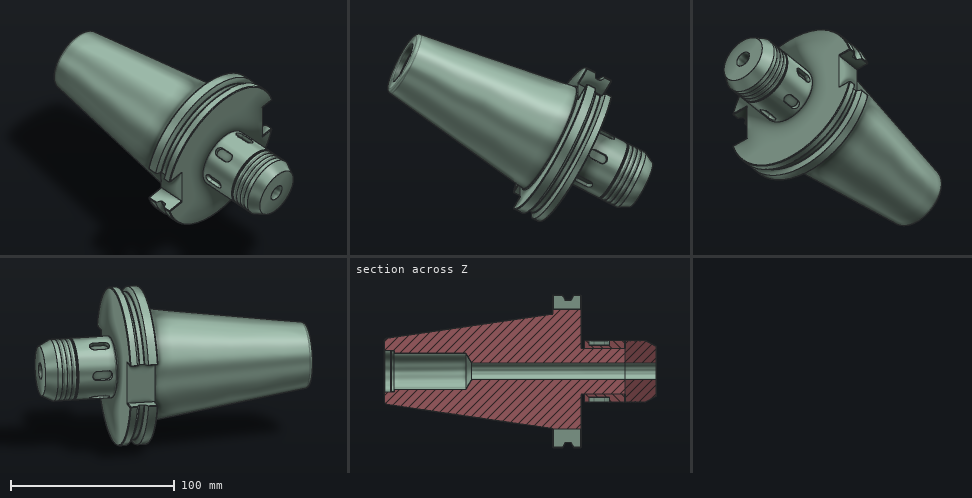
import cadquery as cq
import math


TOLERANCE = 0.002

GAUGE_X = 102.0
GAUGE_DIAMETER = 70.0
TAPER_RATIO = 7 / 24
TAPER_END_FILLET = 2.3

FLANGE_X = 103.2
FLANGE_END_X = 120.7
FLANGE_DIAMETER = 97.4
FLANGE_CHAMFER = 0.5
FLANGE_ROOT_FILLET = 0.7

GROOVE_X = 109.2
GROOVE_END_X = 116.2
GROOVE_DIAMETER = 90.9
GROOVE_FLANK_RUN = 1.8
GROOVE_ROOT_FILLET = 0.5

DRIVE_SLOT_WIDTH = 25.7
DRIVE_SLOT_CHAMFER = 0.5
FRONT_SLOT_FLOOR = 35.4
BACK_SLOT_FLOOR = 38.0

SHANK_DIAMETER = 28.0
SHANK_ROOT_FILLET = 0.7

COOLANT_DIAMETER = 10.0
PILOT_DIAMETER = 25.3
PILOT_DEPTH = 4.0
PILOT_FILLET = 0.8
SEAT_DIAMETER = 25.0
SEAT_TAPER = 0.5
SEAT_DEPTH = 6.2
THREAD_DIAMETER = 22.0
THREAD_DEPTH = 50.0
DRILL_POINT_ANGLE = 118.0

NUT_DIAMETER = 38.0
SLEEVE_X = 122.5
SLEEVE_REAR_FILLET = 1.0
JOINT_CHAMFER_RUN = 0.5
JOINT_CHAMFER_DROP = 0.2
SLEEVE_END_X = 147.3
JOINT_GAP = 0.3
CAP_X = SLEEVE_END_X + JOINT_GAP

KEYWAY_COUNT = 6
KEYWAY_X = 131.7
KEYWAY_LENGTH = 12.3
KEYWAY_WIDTH = 5.8
KEYWAY_FLOOR = 16.0

CAP_GROOVE_COUNT = 3
CAP_GROOVE_X = 149.8
CAP_GROOVE_PITCH = 3.0
CAP_GROOVE_SLOPE = 1.0
CAP_GROOVE_SHOULDER = 0.2
CAP_GROOVE_DEPTH = 0.25
NOSE_X = 159.8
CAP_END_X = 166.8
CAP_END_DIAMETER = 30.7


def revolved(points):
    """Solid of revolution about X from (x, radius) corner points."""
    return cq.Workplane("XY").polyline(points).close().revolve(360, (0, 0, 0), (1, 0, 0))


def fillet_circle(body, x, diameter, radius):
    """Round the circular edge of a given diameter at a given x."""
    edge = body.edges("%CIRCLE").filter(
        lambda e: abs(e.Center().x - x) < TOLERANCE and abs(e.radius() - diameter / 2) < TOLERANCE
    )
    return body.newObject(edge.vals()).fillet(radius)


def make_holder_blank():
    gauge_radius = GAUGE_DIAMETER / 2
    small_radius = gauge_radius - GAUGE_X * TAPER_RATIO / 2
    rim = FLANGE_DIAMETER / 2
    groove = GROOVE_DIAMETER / 2
    shank = SHANK_DIAMETER / 2
    blank = revolved([
        (0, 0),
        (0, small_radius),
        (GAUGE_X, gauge_radius),
        (FLANGE_X, gauge_radius),
        (FLANGE_X, rim - FLANGE_CHAMFER),
        (FLANGE_X + FLANGE_CHAMFER, rim),
        (GROOVE_X, rim),
        (GROOVE_X + GROOVE_FLANK_RUN, groove),
        (GROOVE_END_X - GROOVE_FLANK_RUN, groove),
        (GROOVE_END_X, rim),
        (FLANGE_END_X - FLANGE_CHAMFER, rim),
        (FLANGE_END_X, rim - FLANGE_CHAMFER),
        (FLANGE_END_X, shank),
        (CAP_X, shank),
        (CAP_X, 0),
    ])
    blank = blank.faces("<X").edges().fillet(TAPER_END_FILLET)
    for x in (GROOVE_X + GROOVE_FLANK_RUN, GROOVE_END_X - GROOVE_FLANK_RUN):
        blank = fillet_circle(blank, x, GROOVE_DIAMETER, GROOVE_ROOT_FILLET)
    blank = fillet_circle(blank, FLANGE_X, GAUGE_DIAMETER, FLANGE_ROOT_FILLET)
    return fillet_circle(blank, FLANGE_END_X, SHANK_DIAMETER, SHANK_ROOT_FILLET)


def make_holder_bore():
    pilot = PILOT_DIAMETER / 2
    seat = SEAT_DIAMETER / 2
    thread = THREAD_DIAMETER / 2
    coolant = COOLANT_DIAMETER / 2
    point_length = (thread - coolant) / math.tan(math.radians(DRILL_POINT_ANGLE / 2))
    return revolved([
        (0, 0),
        (0, pilot),
        (PILOT_DEPTH, pilot),
        (PILOT_DEPTH + SEAT_TAPER, seat),
        (SEAT_DEPTH, seat),
        (SEAT_DEPTH, thread),
        (THREAD_DEPTH, thread),
        (THREAD_DEPTH + point_length, coolant),
        (CAP_X, coolant),
        (CAP_X, 0),
    ])


def make_drive_slot(side, floor):
    """Cutter for one driving slot; side is -1 for -Y and +1 for +Y."""
    depth = FLANGE_DIAMETER / 2 - floor
    return cq.Workplane("XY").box(
        FLANGE_END_X - FLANGE_X, depth, DRIVE_SLOT_WIDTH
    ).translate(((FLANGE_X + FLANGE_END_X) / 2, side * (floor + depth / 2), 0))


def is_slot_rim_edge(edge):
    """True for slot wall edges on the flange sides and rim, outside the gripper groove."""
    box = edge.BoundingBox()
    on_wall = box.zlen < TOLERANCE and abs(abs(box.zmin) - DRIVE_SLOT_WIDTH / 2) < TOLERANCE
    middle = edge.Center()
    on_rim = abs(middle.y) > GROOVE_DIAMETER / 2 and not GROOVE_X < middle.x < GROOVE_END_X
    on_side = box.xlen < TOLERANCE and not FLANGE_X + TOLERANCE < middle.x < FLANGE_END_X - TOLERANCE
    return on_wall and (on_rim or on_side)


def make_holder():
    holder = make_holder_blank().cut(make_holder_bore())
    holder = fillet_circle(holder, 0, PILOT_DIAMETER, PILOT_FILLET)
    holder = holder.cut(make_drive_slot(-1, FRONT_SLOT_FLOOR))
    holder = holder.cut(make_drive_slot(1, BACK_SLOT_FLOOR))
    rim_edges = holder.edges().filter(is_slot_rim_edge).vals()
    return holder.newObject(rim_edges).chamfer(DRIVE_SLOT_CHAMFER)


def make_keyway():
    """Cutter for one spanner slot on the -Y side of the sleeve."""
    return (
        cq.Workplane("XZ", origin=(KEYWAY_X, -KEYWAY_FLOOR, 0))
        .slot2D(KEYWAY_LENGTH, KEYWAY_WIDTH)
        .extrude(NUT_DIAMETER / 2 - KEYWAY_FLOOR)
    )


def make_sleeve():
    outer = NUT_DIAMETER / 2
    bore = SHANK_DIAMETER / 2
    sleeve = revolved([
        (SLEEVE_X, bore),
        (SLEEVE_X, outer),
        (SLEEVE_END_X - JOINT_CHAMFER_RUN, outer),
        (SLEEVE_END_X, outer - JOINT_CHAMFER_DROP),
        (SLEEVE_END_X, bore),
    ])
    sleeve = fillet_circle(sleeve, SLEEVE_X, NUT_DIAMETER, SLEEVE_REAR_FILLET)
    for index in range(KEYWAY_COUNT):
        angle = index * 360 / KEYWAY_COUNT
        sleeve = sleeve.cut(make_keyway().rotate((0, 0, 0), (1, 0, 0), angle))
    return sleeve


def make_cap():
    outer = NUT_DIAMETER / 2
    bore = COOLANT_DIAMETER / 2
    outline = [
        (CAP_X, bore),
        (CAP_X, outer - JOINT_CHAMFER_DROP),
        (CAP_X + JOINT_CHAMFER_RUN, outer),
    ]
    for index in range(CAP_GROOVE_COUNT):
        start = CAP_GROOVE_X + index * CAP_GROOVE_PITCH
        bottom = start + CAP_GROOVE_SLOPE
        outline += [
            (start, outer),
            (bottom, outer - CAP_GROOVE_DEPTH),
            (bottom + CAP_GROOVE_SHOULDER, outer),
        ]
    outline += [
        (NOSE_X, outer),
        (CAP_END_X, CAP_END_DIAMETER / 2),
        (CAP_END_X, bore),
    ]
    return revolved(outline)


holder = make_holder()
sleeve = make_sleeve()
cap = make_cap()

result = cq.Compound.makeCompound([holder.val(), sleeve.val(), cap.val()])